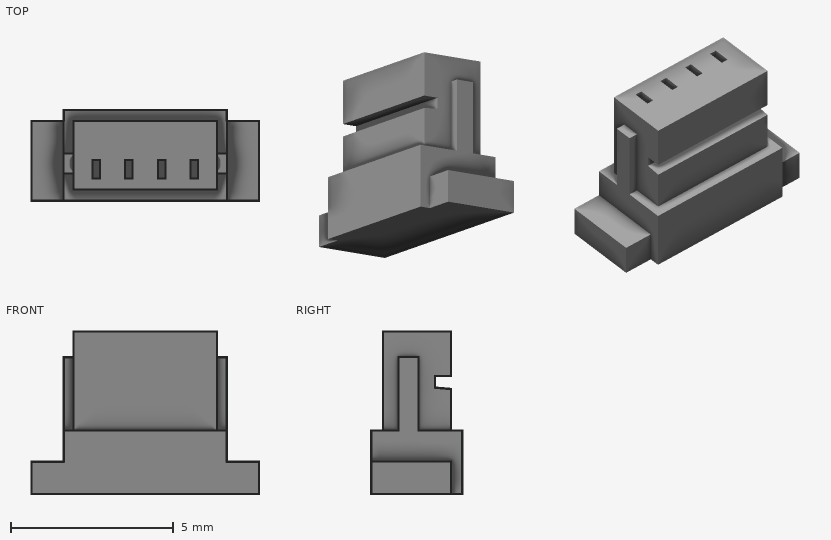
import cadquery as cq

overall_length = 7.0
overall_depth = 2.8
overall_height = 5.0

flange_depth = 2.46
flange_height = 1.0

body_length = 5.01
body_height = 1.96

plug_length = 4.41
plug_front = 0.36
plug_back = flange_depth

rib_front = 0.85
rib_width = 0.6
rib_top = 4.215

notch_depth = 0.49
notch_top = 3.625
notch_inner_bottom = 3.275
notch_outer_bottom = 3.235

slot_count = 4
slot_pitch = 1.0
slot_length = 0.23
slot_front = 0.69
slot_width = 0.56


def block(length, front, back, bottom, top):
    """Box centred on X, spanning the given Y and Z ranges."""
    return (
        cq.Workplane("XY")
        .box(length, back - front, top - bottom, centered=(True, False, False))
        .translate((0, front, bottom))
    )


def latch_notch():
    """Full-length groove whose floor slopes down towards the back face."""
    inner = plug_back - notch_depth
    profile = [
        (inner, notch_top),
        (plug_back, notch_top),
        (plug_back, notch_outer_bottom),
        (inner, notch_inner_bottom),
    ]
    return cq.Workplane("YZ").polyline(profile).close().extrude(plug_length / 2, both=True)


def contact_slots(solid):
    """Cut the row of contact slots down through the plug to the top of the body."""
    slot = block(slot_length, slot_front, slot_front + slot_width, body_height, overall_height)
    for index in range(slot_count):
        offset = (index - (slot_count - 1) / 2) * slot_pitch
        solid = solid.cut(slot.translate((offset, 0, 0)))
    return solid


flange = block(overall_length, 0, flange_depth, 0, flange_height)
body = block(body_length, 0, overall_depth, 0, body_height)
plug = block(plug_length, plug_front, plug_back, body_height, overall_height).cut(latch_notch())
ribs = block(body_length, rib_front, rib_front + rib_width, body_height, rib_top)

result = contact_slots(flange.union(body).union(plug).union(ribs))